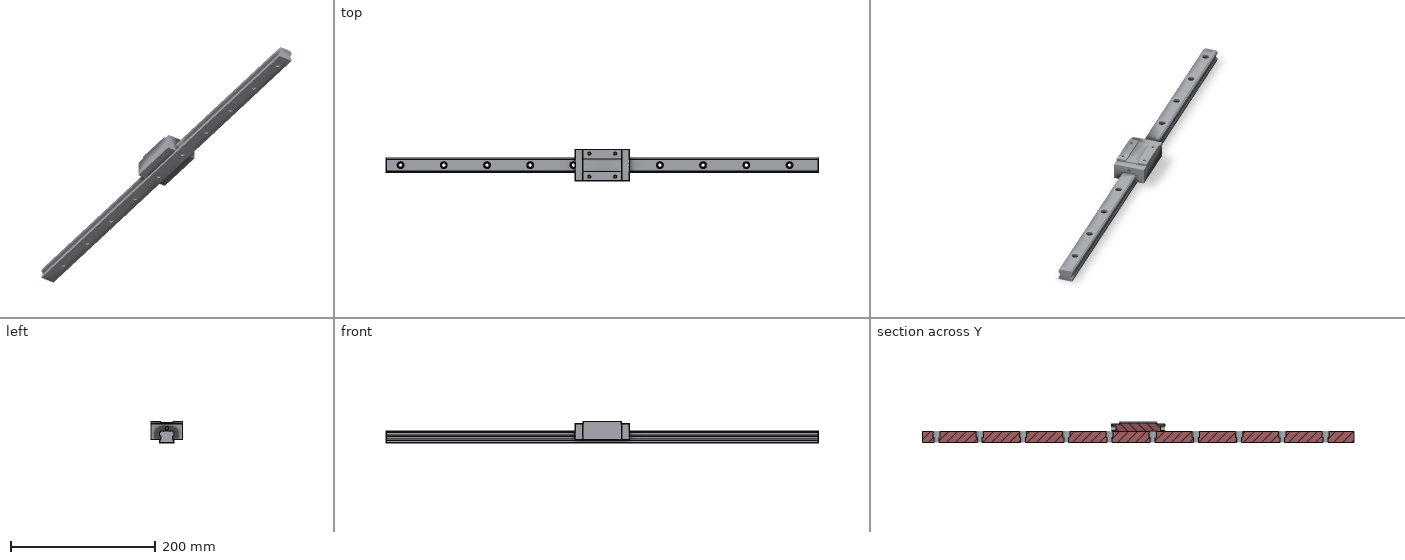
import cadquery as cq

rail_length = 600.0
rail_width = 20.0
rail_height = 16.3
base_height = 3.5
waist_width = 16.0
waist_bottom = 5.5
waist_top = 9.0
head_bottom = 11.0
head_side_top = 14.3
head_top_width = 16.0

rail_hole_pitch = 60.0
rail_hole_count = 10
rail_hole_margin = 20.0
rail_hole_diameter = 6.0
rail_counterbore_diameter = 9.5
rail_counterbore_depth = 8.5

carriage_length = 75.0
carriage_width = 44.0
carriage_top = 30.0
carriage_bottom = 4.6
block_length = 53.0
cap_top = 27.0
top_edge_chamfer = 0.5

neck_length = 0.6
neck_inset = 0.8
neck_width = carriage_width - 2 * neck_inset
neck_top = cap_top - neck_inset
cap_length = (carriage_length - block_length) / 2 - neck_length

channel_width = 17.0
channel_depth = 1.8

mount_spacing_x = 36.0
mount_spacing_y = 32.0
mount_hole_diameter = 4.2
mount_hole_depth = 6.0

grease_hole_diameter = 5.0
grease_hole_height = 20.5
grease_hole_depth = 6.0


def rail_profile_bar(length):
    """Bar with the waisted rail section, centred along X and standing on Z = 0."""
    right_side = [
        (rail_width / 2, 0),
        (rail_width / 2, base_height),
        (waist_width / 2, waist_bottom),
        (waist_width / 2, waist_top),
        (rail_width / 2, head_bottom),
        (rail_width / 2, head_side_top),
        (head_top_width / 2, rail_height),
    ]
    left_side = [(-y, z) for y, z in reversed(right_side)]
    section = cq.Workplane("YZ").polyline(right_side + left_side).close()
    return section.extrude(length / 2, both=True)


def make_rail():
    """Rail with a row of counterbored holes through its top."""
    first_hole_x = -rail_length / 2 + rail_hole_margin
    hole_centres = [(first_hole_x + i * rail_hole_pitch, 0) for i in range(rail_hole_count)]
    return (
        rail_profile_bar(rail_length)
        .faces(">Z")
        .workplane(origin=(0, 0, rail_height))
        .pushPoints(hole_centres)
        .cboreHole(rail_hole_diameter, rail_counterbore_diameter, rail_counterbore_depth)
    )


def upright_box(length, width, top, x=0):
    """Box centred at x, from the underside of the carriage up to the given height."""
    return (
        cq.Workplane("XY", origin=(x, 0, carriage_bottom))
        .rect(length, width)
        .extrude(top - carriage_bottom)
    )


def chamfered_box(length, top, x=0):
    """Box of full carriage width with its long top edges chamfered."""
    box = upright_box(length, carriage_width, top, x)
    return box.faces(">Z").edges("|X").chamfer(top_edge_chamfer)


def top_channel():
    """Cutter for the channel along the top of the block."""
    return (
        cq.Workplane("XY", origin=(0, 0, carriage_top))
        .rect(block_length, channel_width)
        .extrude(-channel_depth)
    )


def mounting_holes():
    """Four blind holes cut down into the top of the block."""
    return (
        cq.Workplane("XY", origin=(0, 0, carriage_top))
        .rect(mount_spacing_x, mount_spacing_y, forConstruction=True)
        .vertices()
        .circle(mount_hole_diameter / 2)
        .extrude(-mount_hole_depth)
    )


def grease_hole(end):
    """Blind hole in the end cap at the -X end (end = -1) or the +X end (end = 1)."""
    return (
        cq.Workplane("YZ", origin=(end * carriage_length / 2, 0, grease_hole_height))
        .circle(grease_hole_diameter / 2)
        .extrude(-end * grease_hole_depth)
    )


def make_carriage():
    """Block, necks and end caps in one piece, fitted closely around the rail."""
    carriage = chamfered_box(block_length, carriage_top).cut(top_channel())
    necks = upright_box(block_length + 2 * neck_length, neck_width, neck_top)
    carriage = carriage.union(necks).cut(mounting_holes())
    for end in (-1, 1):
        cap_centre = end * (carriage_length - cap_length) / 2
        carriage = carriage.union(chamfered_box(cap_length, cap_top, cap_centre))
        carriage = carriage.cut(grease_hole(end))
    return carriage.cut(rail_profile_bar(carriage_length))


rail = make_rail()
carriage = make_carriage()
result = cq.Compound.makeCompound([rail.val(), carriage.val()])